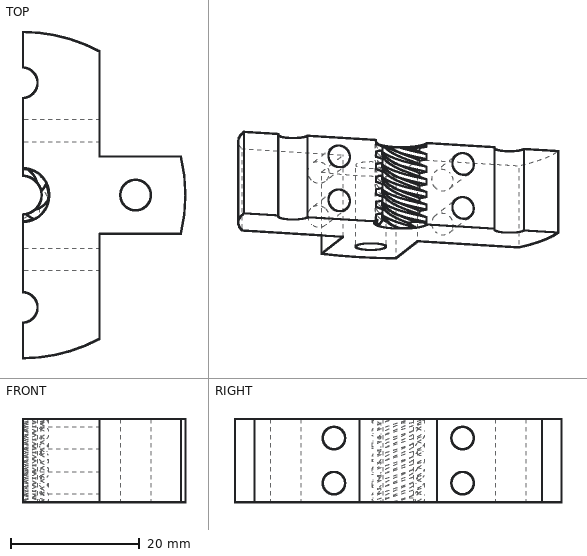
import cadquery as cq
import math

disc_diameter = 50.8
height = 13.0
split_face_x = 0.1
bar_back_x = 12.05
stem_width = 12.05

stem_hole_diameter = 4.7
stem_hole_x = 17.65

rod_diameter = 4.7
rod_offset_y = 17.5

bolt_diameter = 3.45
bolt_offset_y = 10.0
bolt_edge_distance = 3.0

starts = 4
lead = 8.05
pitch = lead / starts
bore_radius = 3.0
groove_radius = 4.05
groove_root_width = 0.8
flank_angle = 15.0
groove_height_on_y = 6.75
groove_sweep = 200
countersink_radius = 4.2
countersink_depth = 0.65
overlap = 0.2


def vertical_cylinder(diameter, x, y):
    return cq.Workplane("XY").center(x, y).circle(diameter / 2).extrude(height)


def make_body():
    disc = vertical_cylinder(disc_diameter, 0, 0)
    radius = disc_diameter / 2
    bar = cq.Workplane("XY").box(
        bar_back_x - split_face_x, disc_diameter, height, centered=(False, True, False)
    ).translate((split_face_x, 0, 0))
    stem = cq.Workplane("XY").box(
        radius - split_face_x, stem_width, height, centered=(False, True, False)
    ).translate((split_face_x, 0, 0))
    return disc.intersect(bar.union(stem))


def make_groove_cutter():
    """One groove across the +X half of the bore, centred on Z = 0 at the +X side."""
    inner_radius = bore_radius - overlap
    root_half = groove_root_width / 2
    mouth_half = root_half + (groove_radius - inner_radius) * math.tan(math.radians(flank_angle))
    sweep_height = lead * groove_sweep / 360
    path = cq.Wire.makeHelix(lead, sweep_height, bore_radius)
    cutter = (
        cq.Workplane("XZ")
        .polyline([
            (inner_radius, -mouth_half),
            (groove_radius, -root_half),
            (groove_radius, root_half),
            (inner_radius, mouth_half),
        ])
        .close()
        .sweep(cq.Workplane(path), isFrenet=True)
    )
    return cutter.rotate((0, 0, 0), (0, 0, 1), -groove_sweep / 2).translate((0, 0, -sweep_height / 2))


def cut_thread(part):
    part = part.cut(vertical_cylinder(2 * bore_radius, 0, 0))
    cutter = make_groove_cutter()
    extra = starts // 2
    first = -math.floor(groove_height_on_y / pitch) - extra
    last = math.floor((height - groove_height_on_y) / pitch) + extra
    for index in range(first, last + 1):
        groove_z = groove_height_on_y + index * pitch
        part = part.cut(cutter.translate((0, 0, groove_z)))
    return part


def cut_countersinks(part):
    """Conical lead-ins opening the thread at both end faces."""
    cone = cq.Solid.makeCone(countersink_radius, bore_radius, countersink_depth)
    bottom = cq.Workplane(cone)
    top = bottom.mirror("XY").translate((0, 0, height))
    return part.cut(bottom).cut(top)


def cut_holes(part):
    part = part.cut(vertical_cylinder(stem_hole_diameter, stem_hole_x, 0))
    for side in (-1, 1):
        part = part.cut(vertical_cylinder(rod_diameter, 0, side * rod_offset_y))
        for bolt_z in (bolt_edge_distance, height - bolt_edge_distance):
            bolt = (
                cq.Workplane("YZ")
                .center(side * bolt_offset_y, bolt_z)
                .circle(bolt_diameter / 2)
                .extrude(bar_back_x)
            )
            part = part.cut(bolt)
    return part


result = cut_thread(cut_countersinks(cut_holes(make_body())))